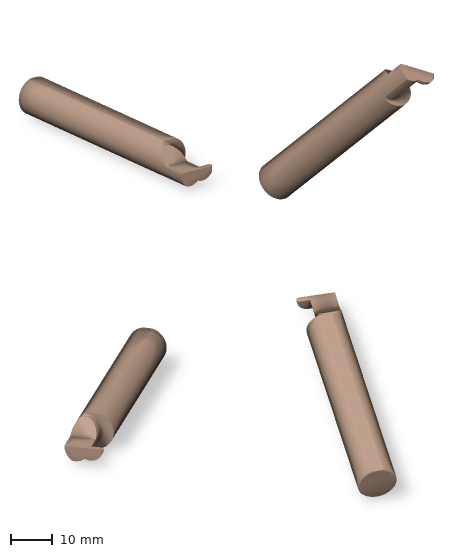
import cadquery as cq
import math

LENGTH = 63.5
SHANK_RADIUS = 4.75
FLAT_HEIGHT = 4.5
REAR_CHAMFER = 0.3
SHOULDER_X = 52.7

NECK_RADIUS = 3.8
NECK_CENTER_Y = -2.2
NECK_BLEND = 0.6

RAKE_Z = 0.0
RAKE_START_X = 57.4

TOOTH_WIDTH = 1.4
TOOTH_TIP_Y = SHANK_RADIUS
TOOTH_ROUND = TOOTH_WIDTH / 2
TIP_CLEARANCE_RADIUS = 3.2
FLANK_RELIEF_ANGLE = 2.0
END_RELIEF_ANGLE = 2.0

ROUND_CENTER_Y = TOOTH_TIP_Y - TOOTH_ROUND
TOOTH_REAR_X = LENGTH - TOOTH_WIDTH


def round_bar(length):
    """Full-diameter bar with the chamfered rear end and the clamping flat."""
    bar = cq.Workplane("YZ").circle(SHANK_RADIUS).extrude(length)
    bar = bar.faces("<X").chamfer(REAR_CHAMFER)
    flat_cut = (
        cq.Workplane("XY", origin=(0, 0, FLAT_HEIGHT))
        .rect(2 * length, 2 * SHANK_RADIUS)
        .extrude(SHANK_RADIUS - FLAT_HEIGHT)
    )
    return bar.cut(flat_cut)


def neck():
    """Eccentric neck flaring out to the shoulder with a concave round."""
    flare_radius = NECK_RADIUS + NECK_BLEND
    blend_offset = NECK_BLEND * (1 - math.sqrt(0.5))
    profile = (
        cq.Workplane("XY")
        .moveTo(SHOULDER_X, 0)
        .lineTo(SHOULDER_X, flare_radius)
        .threePointArc(
            (SHOULDER_X + blend_offset, NECK_RADIUS + blend_offset),
            (SHOULDER_X + NECK_BLEND, NECK_RADIUS),
        )
        .lineTo(LENGTH, NECK_RADIUS)
        .lineTo(LENGTH, 0)
        .close()
    )
    return profile.revolve(360, (0, 0, 0), (1, 0, 0)).translate((0, NECK_CENTER_Y, 0))


def tooth():
    """Side-cutting tooth, relieved on its flanks and around its tip."""
    depth = RAKE_Z + NECK_RADIUS
    blank = (
        cq.Workplane("XY", origin=(0, 0, RAKE_Z))
        .moveTo(TOOTH_REAR_X, NECK_CENTER_Y)
        .lineTo(TOOTH_REAR_X, ROUND_CENTER_Y)
        .threePointArc((LENGTH - TOOTH_ROUND, TOOTH_TIP_Y), (LENGTH, ROUND_CENTER_Y))
        .lineTo(LENGTH, NECK_CENTER_Y)
        .close()
        .extrude(-depth, taper=FLANK_RELIEF_ANGLE)
    )
    clearance_center_y = TOOTH_TIP_Y - TIP_CLEARANCE_RADIUS
    clearance_bar = (
        cq.Workplane("YZ")
        .center(clearance_center_y, RAKE_Z)
        .circle(TIP_CLEARANCE_RADIUS)
        .extrude(LENGTH)
    )
    return blank.intersect(clearance_bar)


def rake_cut():
    """Everything above the ramp and the rake face."""
    ramp_rise = SHANK_RADIUS - RAKE_Z
    return (
        cq.Workplane("XZ")
        .moveTo(RAKE_START_X, RAKE_Z)
        .lineTo(RAKE_START_X - ramp_rise, RAKE_Z + ramp_rise)
        .lineTo(LENGTH, RAKE_Z + ramp_rise)
        .lineTo(LENGTH, RAKE_Z)
        .close()
        .extrude(SHANK_RADIUS, both=True)
    )


def end_relief_cut():
    """Block whose face slopes the end back from the tooth and under the rake face."""
    size = 4 * SHANK_RADIUS
    block = cq.Workplane("XY").box(size, size, size, centered=(False, True, True))
    block = block.rotate((0, 0, 0), (0, 1, 0), FLANK_RELIEF_ANGLE)
    block = block.rotate((0, 0, 0), (0, 0, 1), -END_RELIEF_ANGLE)
    return block.translate((LENGTH, ROUND_CENTER_Y, RAKE_Z))


head = neck().cut(rake_cut()).union(tooth())
head = head.intersect(round_bar(LENGTH)).cut(end_relief_cut())
result = round_bar(SHOULDER_X).union(head)